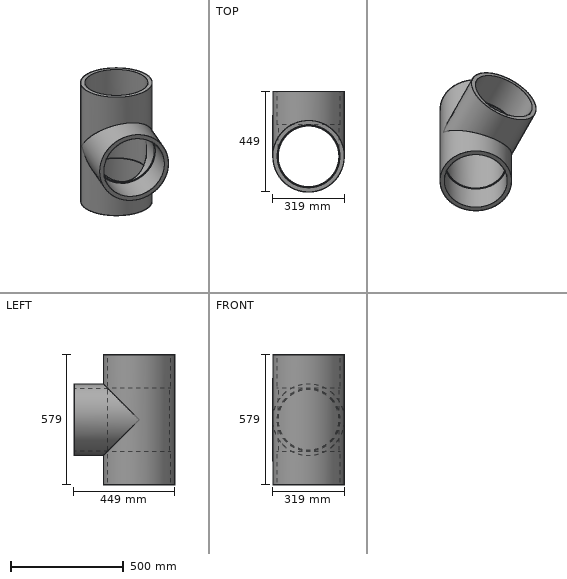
import cadquery as cq

outer_diameter = 319.0
socket_diameter = 280.0
bore_diameter = 270.0
run_length = 579.0
socket_depth = 147.5

mouth_distance = run_length / 2

run_bottom = cq.Plane(origin=(0, 0, -mouth_distance), normal=(0, 0, 1))
run_top = cq.Plane(origin=(0, 0, mouth_distance), normal=(0, 0, -1))
branch_mouth = cq.Plane(origin=(0, mouth_distance, 0), xDir=(1, 0, 0), normal=(0, -1, 0))


def cylinder(start_plane, diameter, length):
    """Cylinder growing from a mouth plane towards the inside of the tee."""
    return cq.Workplane(start_plane).circle(diameter / 2).extrude(length)


def tee(diameter):
    """Run and branch cylinders of one diameter, joined on crossing axes."""
    run = cylinder(run_bottom, diameter, run_length)
    branch = cylinder(branch_mouth, diameter, mouth_distance)
    return run.union(branch)


result = tee(outer_diameter).cut(tee(bore_diameter))

for mouth in (run_bottom, run_top, branch_mouth):
    result = result.cut(cylinder(mouth, socket_diameter, socket_depth))